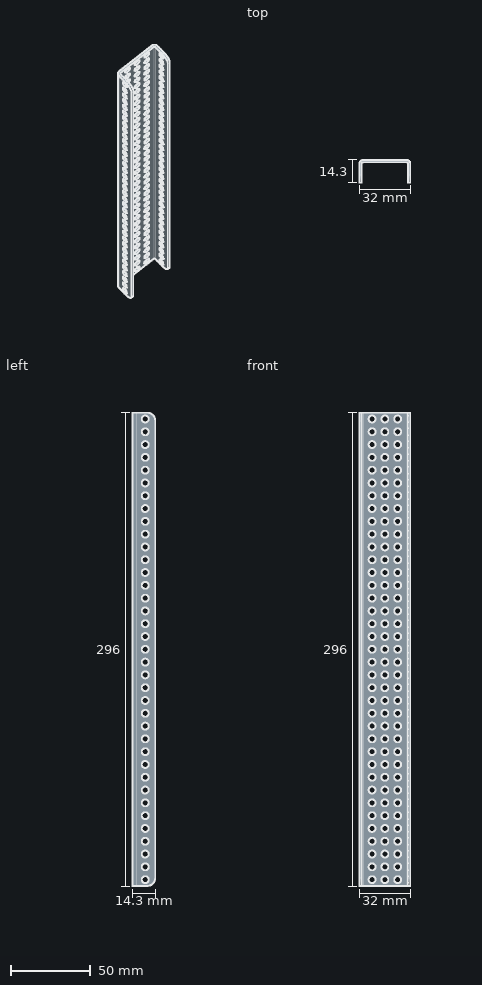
import cadquery as cq

length = 296.0
hole_rows = 37
web_columns = 3
pitch = length / hole_rows
hole_radius = 2.1

thickness = 1.6
bend_inner_radius = thickness / 2
bend_outer_radius = bend_inner_radius + thickness
corner_radius = 5.0

width = (web_columns + 1) * pitch
inner_depth = 12.7
depth = inner_depth + thickness

web_outer_y = depth / 2
flange_hole_y = web_outer_y - pitch


def make_channel():
    """U-shaped sheet with rounded bends, centred on the origin."""
    outer = (
        cq.Workplane("XY")
        .box(width, depth, length)
        .edges("|Z and >Y")
        .fillet(bend_outer_radius)
    )
    inner = (
        cq.Workplane("XY")
        .box(width - 2 * thickness, depth, length)
        .translate((0, -thickness, 0))
        .edges("|Z and >Y")
        .fillet(bend_inner_radius)
    )
    return outer.cut(inner)


def round_flange_corners(channel):
    """Round the free corners at both ends of each flange."""
    return channel.faces("<Y").edges("|X").fillet(corner_radius)


def hole_cutters(plane, columns, center):
    """Grid of cylinders normal to the plane, long enough to cross the whole channel."""
    return (
        cq.Workplane(plane)
        .center(center, 0)
        .rarray(pitch, pitch, columns, hole_rows)
        .circle(hole_radius)
        .extrude(width, both=True)
    )


web_holes = hole_cutters("XZ", web_columns, 0)
flange_holes = hole_cutters("YZ", 1, flange_hole_y)

result = round_flange_corners(make_channel()).cut(web_holes).cut(flange_holes)